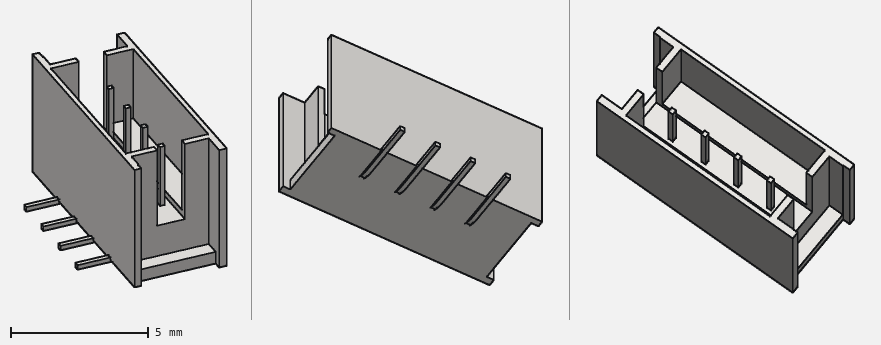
import cadquery as cq

length = 9.0
depth = 3.7
height = 5.0

wall = 0.2
front_wing = 0.27
front_wall = 0.3
back_wing = 0.31

ledge_inset = 0.31
ledge_height = 0.5
end_wall_inset = 0.92
end_wall = 0.28

floor_height = 2.05
channel_floor = 1.8
channel_front = 1.32
channel_width = 1.12

pin_size = 0.2
pin_count = 4
pin_pitch = 1.5
pin_back = 2.2
pin_top = 4.3
pin_drop = 0.1
pin_reach = 1.305
bend_radius = 1.17


def box(x_size, y_min, y_max, z_min, z_max):
    """Block centred in X between the given Y and Z limits."""
    return cq.Workplane("XY").box(
        x_size, y_max - y_min, z_max - z_min, centered=(True, False, False)
    ).translate((0, y_min, z_min))


def make_housing():
    ledge_length = length - 2 * ledge_inset
    core_length = length - 2 * end_wall_inset
    cavity_length = core_length - 2 * end_wall

    front = box(length, 0, front_wing, 0, height)
    front_step = box(ledge_length, 0, front_wall, 0, height)
    back = box(length, depth - back_wing, depth, 0, height)
    core = box(core_length, 0, depth, 0, height)
    ledges = box(ledge_length, 0, depth, 0, ledge_height)
    body = core.union(front).union(front_step).union(back).union(ledges)

    cavity = box(cavity_length, wall, depth - wall, floor_height, height)
    channel = box(core_length, channel_front, channel_front + channel_width, channel_floor, height)
    return body.cut(cavity).cut(channel)


def make_pin(x):
    """Upright leg, quarter bend and foot, swept as one square wire."""
    half = pin_size / 2
    bend = bend_radius - half
    leg_y = pin_back - half
    foot_z = half - pin_drop
    path = (
        cq.Workplane("YZ", origin=(x, 0, 0))
        .moveTo(leg_y, pin_top)
        .lineTo(leg_y, foot_z + bend)
        .radiusArc((leg_y - bend, foot_z), bend)
        .lineTo(-pin_reach, foot_z)
    )
    return cq.Workplane("XY", origin=(x, leg_y, pin_top)).rect(pin_size, pin_size).sweep(path)


pins = []
for index in range(pin_count):
    pins.append(make_pin((index - (pin_count - 1) / 2) * pin_pitch))

housing = make_housing()
for pin in pins:
    housing = housing.cut(pin)

result = cq.Compound.makeCompound([housing.solids().val(), *[pin.val() for pin in pins]])